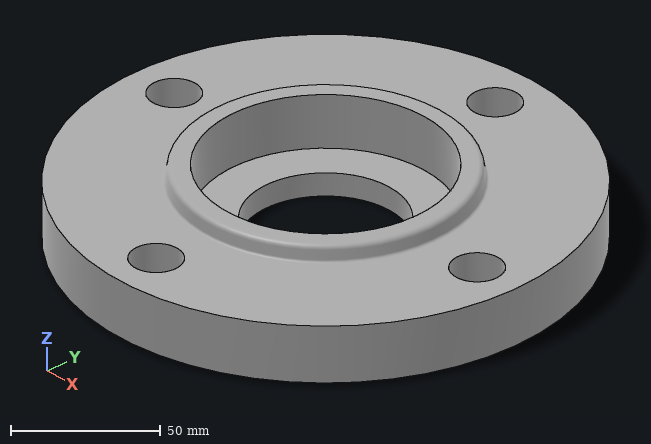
import cadquery as cq
import math

flange_diameter = 190.5
flange_thickness = 22.3
sealing_face_diameter = 127.2
sealing_face_height = 1.5

hub_height = 6.3
hub_base_diameter = 108.2
hub_draft_angle = 10.0
hub_foot_radius = 1.1
hub_rim_radius = 2.0

bore_diameter = 58.5
socket_diameter = 90.7
socket_depth = 21.0

bolt_circle_diameter = 152.4
bolt_hole_diameter = 19.0
bolt_hole_count = 4

flange_bottom = sealing_face_height
flange_top = flange_bottom + flange_thickness
hub_top = flange_top + hub_height
socket_floor = hub_top - socket_depth


def cylinder(diameter, bottom, top):
    """Upright cylinder on the Z axis between two levels."""
    return cq.Workplane("XY").workplane(offset=bottom).circle(diameter / 2).extrude(top - bottom)


def make_blank():
    """Solid of revolution: sealing face, flange and tapered hub."""
    flange_radius = flange_diameter / 2
    sealing_face_radius = sealing_face_diameter / 2
    hub_base_radius = hub_base_diameter / 2
    hub_top_radius = hub_base_radius - hub_height * math.tan(math.radians(hub_draft_angle))
    profile = (
        cq.Workplane("XZ")
        .lineTo(sealing_face_radius, 0)
        .lineTo(sealing_face_radius, flange_bottom)
        .lineTo(flange_radius, flange_bottom)
        .lineTo(flange_radius, flange_top)
        .lineTo(hub_base_radius, flange_top)
        .lineTo(hub_top_radius, hub_top)
        .lineTo(0, hub_top)
        .close()
    )
    blank = profile.revolve(360, (0, 0, 0), (0, 1, 0))
    blank = blank.faces(">Z").edges().fillet(hub_rim_radius)
    return blank.faces(cq.NearestToPointSelector((0, bolt_circle_diameter / 2, flange_top))).edges(
        cq.selectors.RadiusNthSelector(0)
    ).fillet(hub_foot_radius)


def make_bolt_holes():
    """Through holes equally spaced on the bolt circle, the first on the X axis."""
    return (
        cq.Workplane("XY")
        .polarArray(bolt_circle_diameter / 2, 0, 360, bolt_hole_count)
        .circle(bolt_hole_diameter / 2)
        .extrude(flange_top)
    )


result = (
    make_blank()
    .cut(cylinder(bore_diameter, 0, hub_top))
    .cut(cylinder(socket_diameter, socket_floor, hub_top))
    .cut(make_bolt_holes())
)